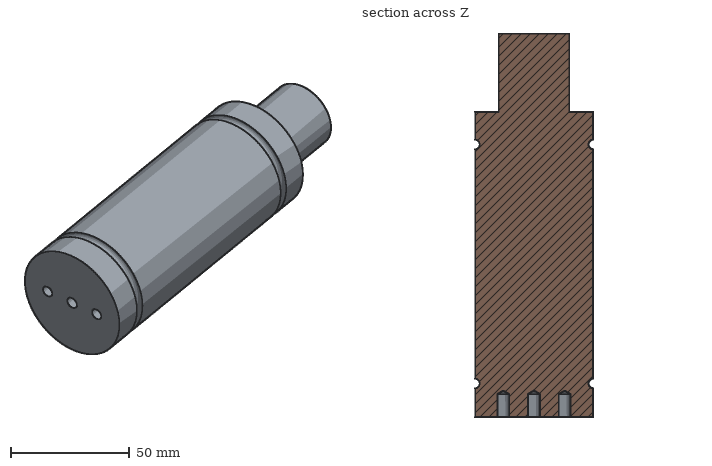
import cadquery as cq
import math

TOTAL_LENGTH = 162.0
BODY_DIAMETER = 50.0
ROD_DIAMETER = 30.0
ROD_LENGTH = 33.0
BODY_LENGTH = TOTAL_LENGTH - ROD_LENGTH

GROOVE_RADIUS = 2.0
BASE_GROOVE_OFFSET = 14.3
SHOULDER_GROOVE_OFFSET = 13.8

CENTRE_HOLE_DIAMETER = 5.0
SIDE_HOLE_DIAMETER = 4.9
SIDE_HOLE_SPACING = 13.0
HOLE_DEPTH = 9.7
DRILL_POINT_ANGLE = 118.0


def revolved_cylinder():
    """Body and rod as one revolved profile, including the grooves."""
    body_radius = BODY_DIAMETER / 2
    rod_radius = ROD_DIAMETER / 2
    groove_centres = (BASE_GROOVE_OFFSET, BODY_LENGTH - SHOULDER_GROOVE_OFFSET)

    profile = cq.Workplane("XY").lineTo(body_radius, 0)
    for centre in groove_centres:
        profile = profile.lineTo(body_radius, centre - GROOVE_RADIUS)
        profile = profile.threePointArc(
            (body_radius - GROOVE_RADIUS, centre),
            (body_radius, centre + GROOVE_RADIUS),
        )
    profile = (
        profile.lineTo(body_radius, BODY_LENGTH)
        .lineTo(rod_radius, BODY_LENGTH)
        .lineTo(rod_radius, TOTAL_LENGTH)
        .lineTo(0, TOTAL_LENGTH)
        .close()
    )
    return profile.revolve(360, (0, 0), (0, 1))


def drilled_hole(diameter, x):
    """Tool for a blind hole along +Y from the base face, ending in a drill point."""
    radius = diameter / 2
    point_depth = radius / math.tan(math.radians(DRILL_POINT_ANGLE / 2))
    return (
        cq.Workplane("XY")
        .lineTo(radius, 0)
        .lineTo(radius, HOLE_DEPTH)
        .lineTo(0, HOLE_DEPTH + point_depth)
        .close()
        .revolve(360, (0, 0), (0, 1))
        .translate((x, 0, 0))
    )


result = revolved_cylinder()
result = result.cut(drilled_hole(CENTRE_HOLE_DIAMETER, 0))
for side in (-1, 1):
    result = result.cut(drilled_hole(SIDE_HOLE_DIAMETER, side * SIDE_HOLE_SPACING))